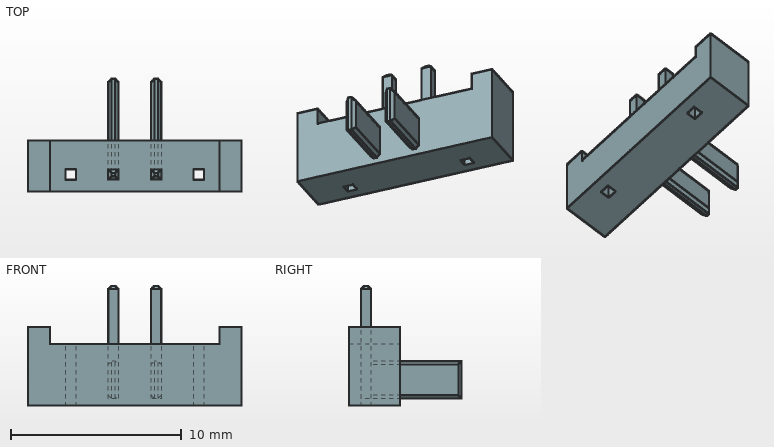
import cadquery as cq

housing_length = 12.5
housing_depth = 3.0
housing_height = 4.6
floor_height = 3.6
ear_width = 1.3

pin_width = 0.6
row_y = 1.0
pin_pitch = 2.5
hole_pitch = 7.5

pin_top = 7.0
tip_bevel = 0.2
blade_bottom = 0.4
blade_height = 2.2
blade_reach = 3.6


def centred_pair(pitch):
    return [-pitch / 2, pitch / 2]


def make_leg(x):
    """Upright square leg with a bevelled tip."""
    leg = cq.Workplane("XY").box(
        pin_width, pin_width, pin_top - blade_bottom, centered=(True, True, False)
    )
    leg = leg.faces(">Z").chamfer(tip_bevel)
    return leg.translate((x, row_y, blade_bottom))


def make_blade(x):
    """Horizontal blade from the leg axis, with bevels around both side faces."""
    blade_length = housing_depth + blade_reach - row_y
    blade = cq.Workplane("XY").box(
        pin_width, blade_length, blade_height, centered=(True, False, False)
    )
    blade = blade.faces("<X or >X").chamfer(tip_bevel)
    return blade.translate((x, row_y, blade_bottom))


def make_pin(x):
    return make_leg(x).union(make_blade(x))


def make_housing(pins):
    """Block with a lowered middle, two open holes and a fitted seat for each pin."""
    housing = cq.Workplane("XY").box(
        housing_length, housing_depth, housing_height, centered=(True, False, False)
    )

    lowered_middle = cq.Workplane("XY").box(
        housing_length - 2 * ear_width,
        housing_depth,
        housing_height - floor_height,
        centered=(True, False, False),
    )
    housing = housing.cut(lowered_middle.translate((0, 0, floor_height)))

    for x in centred_pair(hole_pitch):
        hole = cq.Workplane("XY").box(
            pin_width, pin_width, floor_height, centered=(True, True, False)
        )
        housing = housing.cut(hole.translate((x, row_y, 0)))

    for pin in pins:
        housing = housing.cut(pin)
    return housing


pins = [make_pin(x) for x in centred_pair(pin_pitch)]
housing = make_housing(pins)

result = cq.Compound.makeCompound([housing.val(), *[pin.val() for pin in pins]])